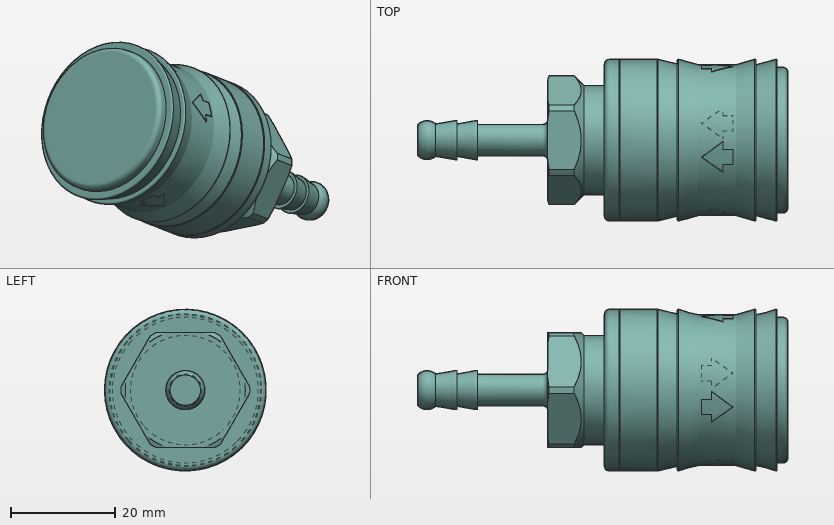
import cadquery as cq
import math

overall_length = 71.0
hex_start = 24.9
rear_ring_start = 35.8
middle_ring_start = 38.6
grip_start = 46.1
grip_end = 68.95

body_radius = 31.0 / 2
neck_radius = 21.0 / 2
end_ring_radius = 28.0 / 2

stem_radius = 6.1 / 2
tip_face_radius = 5.8 / 2
tip_bulge_radius = 7.5 / 2
tip_bulge_position = 1.7
tip_length = 3.5
barb_radius = 7.5 / 2
barb_valley_radius = 6.25 / 2
barb_lip = 0.4
barb_ends = (7.6, 11.5)
stem_root_fillet = 0.85

hex_across_flats = 22.0
hex_corner_radius = 24.7 / 2
hex_face_radius = 23.0 / 2
hex_face_chamfer_length = 0.3
hex_cone_start = 30.0

rear_ring_fillet = 1.0
end_ring_fillet = 1.0
joint_groove_width = 0.15
joint_groove_depth = 0.15

waist_radius = 29.0 / 2
waist_start = 53.8
waist_end = 61.05
rear_taper_radius = 29.25 / 2
rear_ridge_start = 49.8
front_ridge_end = 64.9
ridge_round = 0.3

arrow_count = 4
arrow_depth = 0.1
first_arrow_angle = 13.0
arrow_tail_to_tip = 5.95
arrow_head_length = 4.05
arrow_head_width = 5.95
arrow_shaft_width = 3.0


def revolve_about_x(outline):
    """Close an outline of (x, radius) points and turn it around the X axis."""
    return outline.close().revolve(360, (0, 0, 0), (1, 0, 0))


def disc(start, end, radius):
    """Solid cylinder along X between two positions."""
    return cq.Workplane("YZ", origin=(start, 0, 0)).circle(radius).extrude(end - start)


def make_barbed_stem():
    """Rounded tip and two barbs, then a plain stem flaring into the hexagon face."""
    outline = (
        cq.Workplane("XY")
        .moveTo(0, 0)
        .lineTo(0, tip_face_radius)
        .threePointArc((tip_bulge_position, tip_bulge_radius), (tip_length, barb_valley_radius))
    )
    for barb_end in barb_ends:
        outline = (
            outline.lineTo(barb_end - barb_lip, barb_radius)
            .lineTo(barb_end, barb_radius)
            .lineTo(barb_end, barb_valley_radius)
        )
    fillet_start = hex_start - stem_root_fillet
    flare_radius = stem_radius + stem_root_fillet
    arc_offset = stem_root_fillet * math.sqrt(0.5)
    outline = (
        outline.lineTo(barb_ends[-1], stem_radius)
        .lineTo(fillet_start, stem_radius)
        .threePointArc(
            (fillet_start + arc_offset, flare_radius - arc_offset),
            (hex_start, flare_radius),
        )
        .lineTo(hex_start, 0)
    )
    return revolve_about_x(outline)


def make_hexagon():
    """Hexagonal prism with flats facing up and down, trimmed by a turned profile."""
    hex_cone_end = hex_cone_start + hex_corner_radius - neck_radius
    across_corners = hex_across_flats / math.cos(math.pi / 6)
    prism = (
        cq.Workplane("YZ", origin=(hex_start, 0, 0))
        .polygon(6, across_corners)
        .extrude(hex_cone_end - hex_start)
    )
    turned_profile = revolve_about_x(
        cq.Workplane("XY")
        .moveTo(hex_start, 0)
        .lineTo(hex_start, hex_face_radius)
        .lineTo(hex_start + hex_face_chamfer_length, hex_corner_radius)
        .lineTo(hex_cone_start, hex_corner_radius)
        .lineTo(hex_cone_end, neck_radius)
        .lineTo(hex_cone_end, 0)
    )
    return prism.intersect(turned_profile)


def make_hose_tail():
    """Barbed stem, hexagon and round neck in one piece."""
    neck = disc(hex_cone_start, rear_ring_start, neck_radius)
    return make_barbed_stem().union(make_hexagon()).union(neck)


def make_rear_ring():
    """Ring behind the neck, rounded at its hose side."""
    ring = disc(rear_ring_start, middle_ring_start, body_radius)
    return ring.faces("<X").edges().fillet(rear_ring_fillet)


def make_middle_ring():
    """Plain ring with a fine step at each end that leaves a narrow joint groove."""
    spigot = disc(middle_ring_start, grip_start, body_radius - joint_groove_depth)
    band = disc(
        middle_ring_start + joint_groove_width, grip_start - joint_groove_width, body_radius
    )
    return spigot.union(band)


def make_arrow(tip_side):
    """Cutter for one arrow on top of the waist; tip_side is +1 or -1 along X."""
    waist_middle = (waist_start + waist_end) / 2
    tip = arrow_tail_to_tip / 2
    tail = -tip
    shoulder = tip - arrow_head_length
    half_head = arrow_head_width / 2
    half_shaft = arrow_shaft_width / 2
    outline = [
        (tip, 0),
        (shoulder, half_head),
        (shoulder, half_shaft),
        (tail, half_shaft),
        (tail, -half_shaft),
        (shoulder, -half_shaft),
        (shoulder, -half_head),
    ]
    prism = (
        cq.Workplane("XY", origin=(waist_middle, 0, 0))
        .polyline([(tip_side * x, y) for x, y in outline])
        .close()
        .extrude(body_radius)
    )
    return prism.cut(disc(waist_start, waist_end, waist_radius - arrow_depth))


def make_grip():
    """Waisted sliding sleeve with three ridges and sunk direction arrows."""
    rear_ridge_end = rear_ridge_start + ridge_round
    rim_radius = body_radius - ridge_round
    arc_inset = ridge_round * (1 - math.sqrt(0.5))
    arc_radius = body_radius - arc_inset
    grip = revolve_about_x(
        cq.Workplane("XY")
        .moveTo(grip_start, 0)
        .lineTo(grip_start, body_radius)
        .lineTo(rear_ridge_start, rear_taper_radius)
        .lineTo(rear_ridge_start, rim_radius)
        .threePointArc((rear_ridge_start + arc_inset, arc_radius), (rear_ridge_end, body_radius))
        .lineTo(waist_start, waist_radius)
        .lineTo(waist_end, waist_radius)
        .lineTo(front_ridge_end - ridge_round, body_radius)
        .threePointArc((front_ridge_end - arc_inset, arc_radius), (front_ridge_end, rim_radius))
        .lineTo(front_ridge_end, waist_radius)
        .lineTo(grip_end - ridge_round, body_radius)
        .threePointArc((grip_end - arc_inset, arc_radius), (grip_end, rim_radius))
        .lineTo(grip_end, 0)
    )
    for index in range(arrow_count):
        tip_side = -1 if index % 2 == 0 else 1
        angle = first_arrow_angle + index * 360 / arrow_count
        grip = grip.cut(make_arrow(tip_side).rotate((0, 0, 0), (1, 0, 0), angle))
    return grip


def make_end_ring():
    """Smaller ring closing the socket side, rounded at its outer rim."""
    ring = disc(grip_end, overall_length, end_ring_radius)
    return ring.faces(">X").edges().fillet(end_ring_fillet)


hose_tail = make_hose_tail()
rear_ring = make_rear_ring()
middle_ring = make_middle_ring()
grip = make_grip()
end_ring = make_end_ring()

result = cq.Compound.makeCompound(
    [
        hose_tail.val(),
        rear_ring.val(),
        middle_ring.val(),
        grip.val(),
        end_ring.val(),
    ]
)